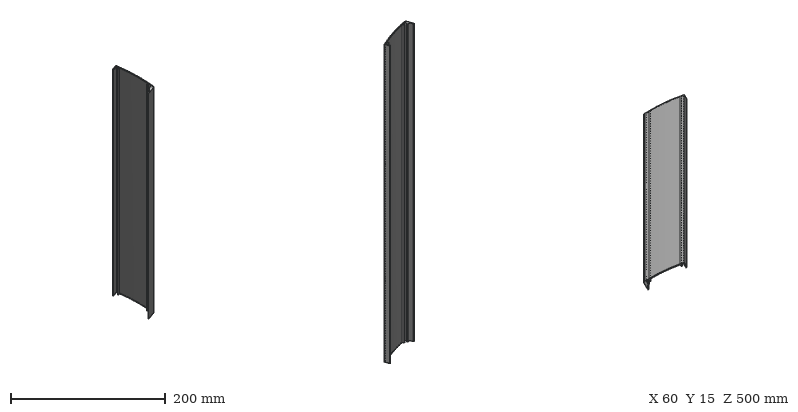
import cadquery as cq
import math

length = 500.0
width = 60.0
depth = 15.0
half_width = width / 2
crown_y = depth / 2
wall = 1.75

web_left = -half_width
web_right = 28.0
web_middle_x = (web_left + web_right) / 2
web_half_span = (web_right - web_left) / 2
web_drop = 1.75
web_thickness = 1.5
web_radius = (web_half_span**2 + web_drop**2) / (2 * web_drop)
web_center_y = crown_y - web_radius

left_leg_tip = -2.5
rib_tip = 2.0
left_rib_x = -25.5
right_rib_x = 20.0
leg_chamfer_width = 1.0
leg_chamfer_height = 0.5

corner_top = 5.0
neck_left = 26.0
ledge_left = 24.5
ledge_top = 1.0
ledge_bottom = -1.0
ledge_fillet = 2.5
tip_chamfer_height = 1.0
tip_width = 0.25


def section():
    """Sketch plane at the lower end of the strip."""
    return cq.Workplane("XY", origin=(0, 0, -length / 2))


def web_core(x):
    """Height of the middle of the web thickness at x."""
    outer_y = web_center_y + math.sqrt(web_radius**2 - (x - web_middle_x) ** 2)
    return outer_y - web_thickness / 2


def bowed_web():
    edge_y = crown_y - web_drop
    return (
        section()
        .moveTo(web_left, edge_y)
        .threePointArc((web_middle_x, crown_y), (web_right, edge_y))
        .lineTo(web_right, edge_y - web_thickness)
        .threePointArc((web_middle_x, crown_y - web_thickness), (web_left, edge_y - web_thickness))
        .close()
        .extrude(length)
    )


def leg(left, tip_y):
    """Leg hanging from the web, its tip chamfered on the left side."""
    right = left + wall
    return (
        section()
        .moveTo(left, web_core(left))
        .lineTo(left, tip_y + leg_chamfer_height)
        .lineTo(left + leg_chamfer_width, tip_y)
        .lineTo(right, tip_y)
        .lineTo(right, web_core(right))
        .close()
        .extrude(length)
    )


def right_wall():
    """Outer wall with a groove, a ledge filleted underneath and a tapered tip."""
    inner_face = half_width - wall
    arc_inset = ledge_fillet * (1 - math.sqrt(0.5))
    return (
        section()
        .moveTo(half_width, corner_top)
        .lineTo(neck_left, corner_top)
        .lineTo(neck_left, ledge_top)
        .lineTo(ledge_left, ledge_top)
        .lineTo(ledge_left, ledge_bottom)
        .lineTo(inner_face - ledge_fillet, ledge_bottom)
        .threePointArc(
            (inner_face - arc_inset, ledge_bottom - arc_inset),
            (inner_face, ledge_bottom - ledge_fillet),
        )
        .lineTo(inner_face, -depth / 2 + tip_chamfer_height)
        .lineTo(half_width - tip_width, -depth / 2)
        .lineTo(half_width, -depth / 2)
        .close()
        .extrude(length)
    )


result = bowed_web().union(right_wall())
for leg_left, leg_tip in [
    (web_left, left_leg_tip),
    (left_rib_x, rib_tip),
    (right_rib_x, rib_tip),
]:
    result = result.union(leg(leg_left, leg_tip))